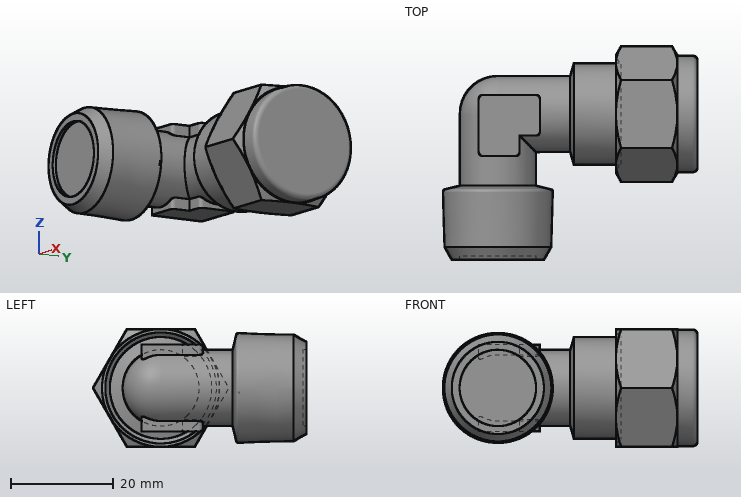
import cadquery as cq
import math

neck_radius = 7.45

plug_radius = 10.75
plug_taper_radius = 10.45
plug_end_radius = 9.0
plug_start = 14.0
plug_cone_length = 0.8
plug_shoulder = 15.3
plug_taper_end = 25.95
plug_end = 28.45
plug_shoulder_fillet = 0.6
recess_radius = 7.45
recess_depth = 0.75

collar_radius = 9.95
collar_start = 14.15
collar_chamfer_length = 0.7

nut_sides = 6
nut_flats = 23.0
nut_start = 23.05
nut_end = 35.05
nut_chamfer_angle = 30
nut_mouth_radius = 10.85
nut_mouth_depth = 1.0

rim_radius = 11.4
overall_length = 49.75
rim_end = overall_length - plug_radius
rim_fillet = 1.0

pad_height = 16.9
pad_outer = 3.75
pad_reach = 8.2
pad_notch = 4.25
pad_corner_radius = 0.8


def turned(points):
    """Solid of revolution about X from (axial position, radius) points."""
    outline = [(points[0][0], 0), *points, (points[-1][0], 0)]
    return (
        cq.Workplane("XY")
        .polyline(outline)
        .close()
        .revolve(360, (0, 0, 0), (1, 0, 0))
    )


def make_elbow():
    ball = cq.Workplane("XY").sphere(neck_radius)
    nut_neck = turned([(0, neck_radius), (nut_start, neck_radius)])
    plug_neck = turned([(0, neck_radius), (plug_shoulder, neck_radius)])
    return ball.union(nut_neck).union(toward_plug(plug_neck))


def toward_plug(body):
    """Swing a body lying along +X round to -Y."""
    return body.rotate((0, 0, 0), (0, 0, 1), -90)


def make_plug():
    plug_cone_end = plug_start + plug_cone_length
    plug = turned([
        (plug_start, neck_radius),
        (plug_cone_end, plug_radius),
        (plug_shoulder, plug_radius),
        (plug_taper_end, plug_taper_radius),
        (plug_end, plug_end_radius),
    ])
    cone_rim = cq.selectors.NearestToPointSelector((plug_cone_end, 0, 0))
    plug = plug.edges("%CIRCLE").edges(cone_rim).fillet(plug_shoulder_fillet)
    recess = turned([(plug_end - recess_depth, recess_radius), (plug_end, recess_radius)])
    return toward_plug(plug.cut(recess))


def make_collar():
    return turned([
        (collar_start, neck_radius),
        (collar_start + collar_chamfer_length, collar_radius),
        (nut_end, collar_radius),
    ])


def make_nut():
    flat_radius = nut_flats / 2
    corner_radius = flat_radius / math.cos(math.pi / nut_sides)
    chamfer_length = (corner_radius - flat_radius) * math.tan(math.radians(nut_chamfer_angle))
    hexagon = (
        cq.Workplane("YZ", origin=(nut_start, 0, 0))
        .polygon(nut_sides, 2 * corner_radius)
        .extrude(nut_end - nut_start)
    )
    chamfer_envelope = turned([
        (nut_start, flat_radius),
        (nut_start + chamfer_length, corner_radius),
        (nut_end - chamfer_length, corner_radius),
        (nut_end, flat_radius),
    ])
    mouth = turned([
        (nut_start, nut_mouth_radius),
        (nut_start + nut_mouth_depth, collar_radius),
    ])
    rim = turned([(nut_end, rim_radius), (rim_end, rim_radius)])
    rim = rim.faces(">X").edges().fillet(rim_fillet)
    return hexagon.intersect(chamfer_envelope).cut(mouth).union(rim)


def make_pads():
    """L-shaped plates whose notch faces the inside of the bend."""
    outline = [
        (-pad_outer, pad_outer),
        (pad_reach, pad_outer),
        (pad_reach, -pad_notch),
        (pad_notch, -pad_notch),
        (pad_notch, -pad_reach),
        (-pad_outer, -pad_reach),
    ]
    pads = (
        cq.Workplane("XY", origin=(0, 0, -pad_height / 2))
        .polyline(outline)
        .close()
        .extrude(pad_height)
    )
    notch_corner = cq.selectors.NearestToPointSelector((pad_notch, -pad_notch, 0))
    outer_corners = cq.selectors.SubtractSelector(
        cq.StringSyntaxSelector("|Z"),
        notch_corner,
    )
    return pads.edges(outer_corners).fillet(pad_corner_radius)


result = (
    make_elbow()
    .union(make_pads())
    .union(make_plug())
    .union(make_collar())
    .union(make_nut())
)